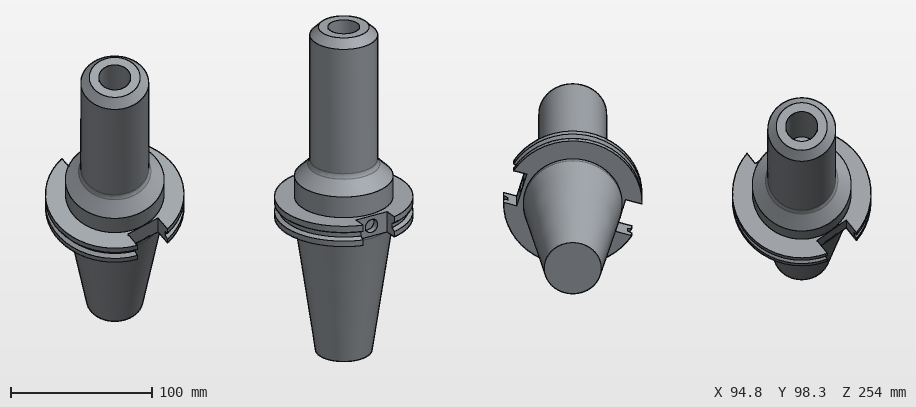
import cadquery as cq
import math

gauge_radius = 35.0
taper_length = 101.5
taper_ratio = 7 / 24
small_end_radius = gauge_radius - taper_length * taper_ratio / 2

flange_diameter = 98.3
flange_radius = flange_diameter / 2
flange_bottom = 104.6
flange_top = 120.6
upper_rim_height = 4.8
lower_rim_height = 4.3
groove_depth = 3.0
groove_flank_angle = 30.0
groove_flank_height = groove_depth * math.tan(math.radians(groove_flank_angle))
groove_floor_radius = flange_radius - groove_depth

total_height = 254.0
collar_top = 137.0
nose_radius = 24.1
nose_base = collar_top + gauge_radius - nose_radius
nose_fillet = 5.0
nose_chamfer = 6.0

bore_diameter = 22.5
bore_depth = 50.8

slot_width = 26.0
left_slot_floor = 37.5
right_slot_floor = 35.3

slot_hole_diameter = 10.2
slot_hole_depth = 5.0


def make_body():
    """Revolve the half section, given as (radius, height) points, about Z."""
    section = [
        (0, 0),
        (small_end_radius, 0),
        (gauge_radius, taper_length),
        (gauge_radius, flange_bottom),
        (flange_radius, flange_bottom),
        (flange_radius, flange_bottom + lower_rim_height),
        (groove_floor_radius, flange_bottom + lower_rim_height + groove_flank_height),
        (groove_floor_radius, flange_top - upper_rim_height - groove_flank_height),
        (flange_radius, flange_top - upper_rim_height),
        (flange_radius, flange_top),
        (gauge_radius, flange_top),
        (gauge_radius, collar_top),
        (nose_radius, nose_base),
        (nose_radius, total_height),
        (0, total_height),
    ]
    body = cq.Workplane("XZ").polyline(section).close().revolve(360, (0, 0), (0, 1))
    body = body.faces(">Z").edges().chamfer(nose_chamfer)
    shoulder_edges = body.edges("%CIRCLE").edges(
        cq.selectors.BoxSelector(
            (-gauge_radius, -gauge_radius, nose_base - nose_fillet),
            (gauge_radius, gauge_radius, nose_base + nose_fillet),
        )
    )
    return shoulder_edges.fillet(nose_fillet)


def drive_slot(side, floor_distance):
    """Box that cuts one drive slot; side is -1 for -X and +1 for +X."""
    length = flange_radius
    height = flange_top - flange_bottom
    return (
        cq.Workplane("XY", origin=(side * (floor_distance + length / 2), 0, flange_bottom))
        .box(length, slot_width, height, centered=(True, True, False))
    )


def slot_hole():
    """Cylinder running inward along X from the left slot floor."""
    middle = (flange_bottom + flange_top) / 2
    return (
        cq.Workplane("YZ", origin=(-left_slot_floor, 0, middle))
        .circle(slot_hole_diameter / 2)
        .extrude(slot_hole_depth)
    )


def tool_bore():
    """Cylinder running down from the nose face."""
    return (
        cq.Workplane("XY", origin=(0, 0, total_height))
        .circle(bore_diameter / 2)
        .extrude(-bore_depth)
    )


result = (
    make_body()
    .cut(drive_slot(-1, left_slot_floor))
    .cut(drive_slot(1, right_slot_floor))
    .cut(slot_hole())
    .cut(tool_bore())
)